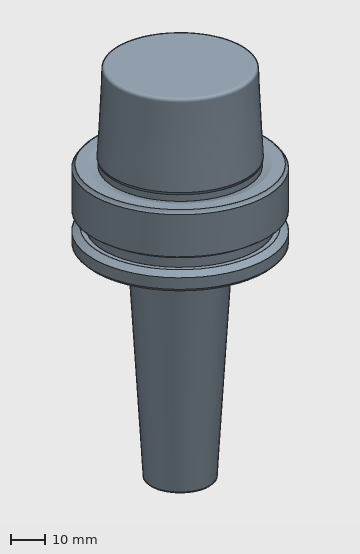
import cadquery as cq

total_height = 132.9
flange_top = 101.1
flange_bottom = 75.0

taper_top_radius = 22.7
taper_base_radius = 24.2
taper_base_level = 103.5
taper_top_fillet = 1.0
neck_radius = 23.9
neck_chamfer_height = 0.8

flange_radius = 31.5
flange_chamfer = 0.9
top_edge_radius = 31.1
top_edge_drop = 0.8
top_bevel_height = 1.2
relief_radius = 26.7
relief_depth = 0.5
relief_foot_radius = 24.5
groove_radius = 27.5
groove_top = 84.9
groove_bottom = 81.1
groove_mouth_radius = 29.1
groove_flank_height = 1.5

shank_top_radius = 15.4
shank_tip_radius = 10.8
shank_blend_radius = 2.9
tip_chamfer = 0.5


def revolve_outline(points):
    """Solid of revolution about Z from an outline of (radius, level) points."""
    return cq.Workplane("XZ").polyline(points).close().revolve(360, (0, 0, 0), (0, 1, 0))


def make_head():
    neck_foot = flange_top - relief_depth
    head = revolve_outline([
        (0, neck_foot),
        (neck_radius, neck_foot),
        (neck_radius, taper_base_level - neck_chamfer_height),
        (taper_base_radius, taper_base_level),
        (taper_top_radius, total_height),
        (0, total_height),
    ])
    return head.faces(">Z").edges().fillet(taper_top_fillet)


def make_flange():
    rim_radius = flange_radius - flange_chamfer
    return revolve_outline([
        (0, flange_bottom),
        (rim_radius, flange_bottom),
        (flange_radius, flange_bottom + flange_chamfer),
        (flange_radius, groove_bottom - groove_flank_height),
        (groove_mouth_radius, groove_bottom),
        (groove_radius, groove_bottom),
        (groove_radius, groove_top),
        (groove_mouth_radius, groove_top),
        (flange_radius, groove_top + groove_flank_height),
        (flange_radius, flange_top - top_bevel_height),
        (top_edge_radius, flange_top - top_edge_drop),
        (rim_radius, flange_top),
        (relief_radius, flange_top),
        (relief_foot_radius, flange_top - relief_depth),
        (0, flange_top - relief_depth),
    ])


def make_shank():
    return revolve_outline([
        (0, 0),
        (shank_tip_radius - tip_chamfer, 0),
        (shank_tip_radius, tip_chamfer),
        (shank_top_radius, flange_bottom),
        (0, flange_bottom),
    ])


def blend_shank(body):
    """Round the inner corner where the shank meets the flange."""
    margin = 0.7
    reach = shank_top_radius + margin
    corner = cq.selectors.BoxSelector(
        (-reach, -reach, flange_bottom - margin),
        (reach, reach, flange_bottom + margin),
        boundingbox=True,
    )
    return body.edges(corner).fillet(shank_blend_radius)


result = blend_shank(make_flange().union(make_shank())).union(make_head())